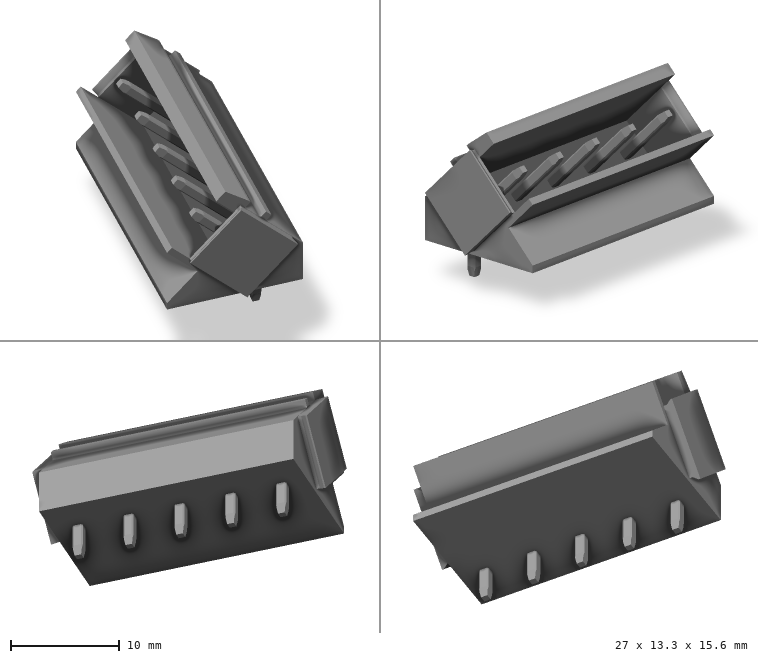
import math

import cadquery as cq


overall_length = 27.0
housing_length = 25.0

pin_count = 5
pin_pitch = housing_length / pin_count
pin_width = 1.0
pin_corner_chamfer = 0.14
pin_tip_length = 1.0
pin_tip_width = 0.65
tail_end = 5.83
mating_end = 8.6

base_depth = 2.62
back_y = 3.83
front_edge_height = 0.75
notch_along = 5.37

trough_floor = 1.08
trough_mouth = 9.58
back_face = 3.9
back_wall_inner = 3.0
front_wall_inner = -3.13
front_face = -3.8

rim_start = 6.5
rim_flat_end = 6.83
rim_start_across = 4.67
rim_mouth_across = 4.27

rib_start = 3.6
rib_end = 4.35
rib_top = 4.65
rib_root_radius = 0.22

flange_start = -0.32
flange_end = 7.5
flange_front = front_wall_inner
flange_back = 3.85
flange_neck_inset = 0.38
flange_neck_length = 0.32
flange_rim_thickness = 0.15

tilt = math.radians(45)


def tilted(along, across):
    """(Y, Z) of a point given in the tilted directions."""
    y = across * math.cos(tilt) - along * math.sin(tilt)
    z = along * math.cos(tilt) + across * math.sin(tilt)
    return y, z


def make_trough():
    """Constant cross-section of base, trough walls, rim and rib."""
    front_y = tilted(trough_mouth, front_face)[0]
    back_corner_z = back_face / math.cos(tilt) - back_y * math.tan(tilt)
    front_corner_z = -base_depth + front_edge_height
    fillet_across = back_face + rib_root_radius
    fillet_mid = rib_root_radius * (1 - math.cos(tilt))
    profile = (
        cq.Workplane("YZ")
        .moveTo(back_y, -base_depth)
        .lineTo(back_y, back_corner_z)
        .lineTo(*tilted(rib_start - rib_root_radius, back_face))
        .threePointArc(
            tilted(rib_start - fillet_mid, back_face + fillet_mid),
            tilted(rib_start, fillet_across),
        )
        .lineTo(*tilted(rib_start, rib_top))
        .lineTo(*tilted(rib_end, rib_top))
        .lineTo(*tilted(rib_end, fillet_across))
        .threePointArc(
            tilted(rib_end + fillet_mid, back_face + fillet_mid),
            tilted(rib_end + rib_root_radius, back_face),
        )
        .lineTo(*tilted(rim_start, back_face))
        .lineTo(*tilted(rim_start, rim_start_across))
        .lineTo(*tilted(rim_flat_end, rim_start_across))
        .lineTo(*tilted(trough_mouth, rim_mouth_across))
        .lineTo(*tilted(trough_mouth, back_wall_inner))
        .lineTo(*tilted(trough_floor, back_wall_inner))
        .lineTo(*tilted(trough_floor, front_wall_inner))
        .lineTo(*tilted(trough_mouth, front_wall_inner))
        .lineTo(*tilted(trough_mouth, front_face))
        .lineTo(*tilted(notch_along, front_face))
        .lineTo(front_y, front_corner_z)
        .lineTo(front_y, -base_depth)
        .close()
    )
    return profile.extrude(housing_length / 2, both=True)


def flange_outline(x, inset):
    """Tilted rectangle of the flange at x, drawn in by inset at both ends of the mating direction."""
    return cq.Workplane("YZ", origin=(x, 0, 0)).polyline([
        tilted(flange_start + inset, flange_front),
        tilted(flange_end - inset, flange_front),
        tilted(flange_end - inset, flange_back),
        tilted(flange_start + inset, flange_back),
    ]).close()


def make_flange():
    """Flange closing the +X end of the trough: neck, flare, then a flat rim."""
    neck_x = housing_length / 2
    flare_x = neck_x + flange_neck_length
    rim_x = overall_length / 2 - flange_rim_thickness
    neck = flange_outline(neck_x, flange_neck_inset).extrude(flange_neck_length)
    narrow_wire = flange_outline(flare_x, flange_neck_inset).val()
    wide_wire = flange_outline(rim_x, 0).val()
    flare = cq.Workplane(cq.Solid.makeLoft([narrow_wire, wide_wire], True))
    rim = flange_outline(rim_x, 0).extrude(flange_rim_thickness)
    return neck.union(flare).union(rim)


def pin_section():
    """Square with chamfered corners."""
    return cq.Sketch().rect(pin_width, pin_width).vertices().chamfer(pin_corner_chamfer)


def make_pin_tip(plane):
    """Tip growing from plane along its normal, tapered on the four flat sides."""
    taper = math.degrees(math.atan2((pin_width - pin_tip_width) / 2, pin_tip_length))
    prism = cq.Workplane(plane).placeSketch(pin_section()).extrude(pin_tip_length)
    frustum = cq.Workplane(plane).rect(pin_width, pin_width).extrude(pin_tip_length, taper=taper)
    return prism.intersect(frustum)


def make_pin(x):
    """Pin with a vertical tail and a mitred bend into the mating direction."""
    tail_shoulder = (0, pin_tip_length - tail_end)
    mating_shoulder = tilted(mating_end - pin_tip_length, 0)
    path = cq.Workplane("YZ", origin=(x, 0, 0)).polyline([tail_shoulder, (0, 0), mating_shoulder])
    shaft_plane = cq.Plane((x, *tail_shoulder), (1, 0, 0), (0, 0, 1))
    tail_plane = cq.Plane((x, *tail_shoulder), (1, 0, 0), (0, 0, -1))
    mating_plane = cq.Plane((x, *mating_shoulder), (1, 0, 0), (0, *tilted(1, 0)))
    shaft = cq.Workplane(shaft_plane).placeSketch(pin_section()).sweep(path, transition="right")
    return shaft.union(make_pin_tip(tail_plane)).union(make_pin_tip(mating_plane))


def make_housing(pins):
    """Trough with both end flanges and a matching hole for every pin."""
    flange = make_flange()
    housing = make_trough().union(flange).union(flange.mirror("YZ"))
    for pin in pins:
        housing = housing.cut(pin)
    return housing


first_pin_x = -pin_pitch * (pin_count - 1) / 2
pins = [make_pin(first_pin_x + i * pin_pitch) for i in range(pin_count)]
housing = make_housing(pins)

result = cq.Compound.makeCompound([housing.solids().val(), *[pin.solids().val() for pin in pins]])